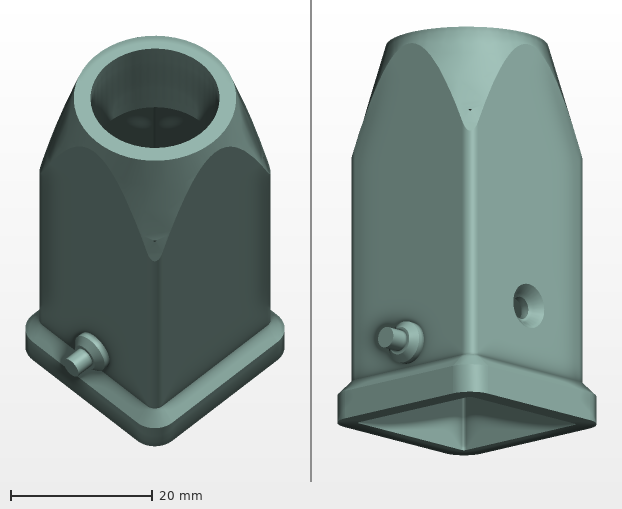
import cadquery as cq
import math

foot_width = 28.0
foot_height = 4.0
foot_corner = 3.5
flare = 2.0

height = 55.0
body_width = foot_width - 2 * flare
body_corner = foot_corner - flare
neck_radius = 11.5
taper_angle = 16.5

wall = 1.0
cavity_width = body_width - 2 * wall
cavity_corner = 0.45
cavity_height = 42.0
bore_radius = 9.15

pin_span = 33.5
pin_height = 9.5
pin_radius = 1.5
collar_radius = 2.95
collar_chamfer = 1.0
collar_length = flare

screw_height = 15.05
screw_radius = 1.6
sink_radius = 3.2
boss_radius = 4.1

body_half = body_width / 2
root_overlap = wall / 2


def rounded_prism(width, corner, length):
    """Square prism with rounded upright edges, standing on the XY plane."""
    return cq.Workplane("XY").rect(width, width).extrude(length).edges("|Z").fillet(corner)


def revolved_on_z(profile):
    """Solid of revolution about Z from (radius, height) points."""
    return cq.Workplane("XZ").polyline(profile).close().revolve(360, (0, 0, 0), (0, 1, 0))


def make_foot():
    return rounded_prism(foot_width, foot_corner, foot_height + flare).faces(">Z").chamfer(flare)


def make_body():
    """Square body trimmed at the top by a cone."""
    cone_base_radius = neck_radius + height * math.tan(math.radians(taper_angle))
    cone = revolved_on_z([(0, 0), (cone_base_radius, 0), (neck_radius, height), (0, height)])
    return rounded_prism(body_width, body_corner, height).intersect(cone)


def make_pin():
    """Chamfered collar and pin on the -Y face."""
    root = body_half - root_overlap
    collar_end = body_half + collar_length
    tip = pin_span / 2
    profile = [
        (0, root),
        (collar_radius, root),
        (collar_radius, collar_end - collar_chamfer),
        (collar_radius - collar_chamfer, collar_end),
        (pin_radius, collar_end),
        (pin_radius, tip),
        (0, tip),
    ]
    return revolved_on_z(profile).rotate((0, 0, 0), (1, 0, 0), 90).translate((0, 0, pin_height))


def make_boss():
    """Round boss inside the -X wall, ending level with the bore."""
    outer_end = body_half - root_overlap
    boss = cq.Workplane("YZ").circle(boss_radius).extrude(outer_end - bore_radius)
    return boss.translate((-outer_end, 0, screw_height))


def make_screw_hole():
    """45 degree countersink and clearance hole, entering from the -X face."""
    sink_depth = sink_radius - screw_radius
    hole_depth = body_half - bore_radius
    profile = [
        (0, 0),
        (sink_radius, 0),
        (screw_radius, sink_depth),
        (screw_radius, hole_depth),
        (0, hole_depth),
    ]
    return revolved_on_z(profile).rotate((0, 0, 0), (0, 1, 0), 90).translate((-body_half, 0, screw_height))


cavity = rounded_prism(cavity_width, cavity_corner, cavity_height)
bore = cq.Workplane("XY").circle(bore_radius).extrude(height)

result = make_foot().union(make_body()).cut(cavity).cut(bore)
for turn in (0, 180):
    result = result.union(make_pin().rotate((0, 0, 0), (0, 0, 1), turn))
result = result.union(make_boss()).cut(make_screw_hole())